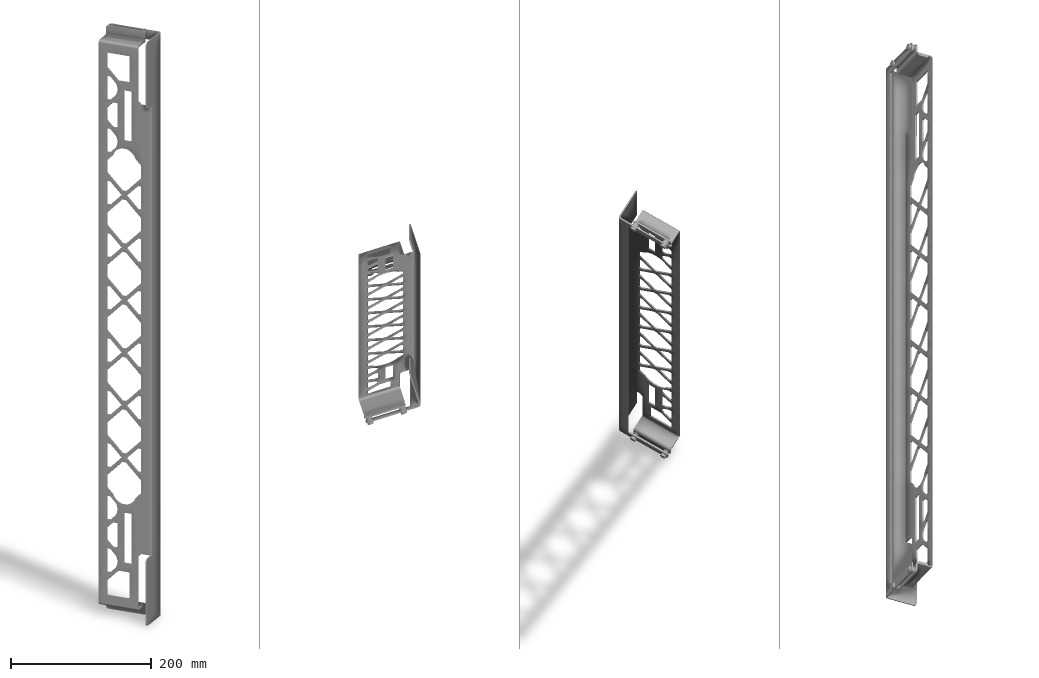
import cadquery as cq

length = 889.0
width = 83.0
depth = 34.0
sheet = 2.0
inner_bend = 2.0
outer_bend = inner_bend + sheet
half_length = length / 2
back_lip_width = 16.0
corner_round = 4.5

flange_reach = 16.0
flange_length = 102.0
flange_start = half_length - flange_length

narrow_width = 61.0
relief_chamfer = 5.0
end_plate_level = 430.0
end_tab_front = 25.0
back_tab_start = 430.0
lug_front = 8.0
lug_drop = 3.0
lug_thickness = 1.0

lattice_pitch = 80.0
lattice_left = 13.0
lattice_right = 67.0
lattice_centre = (lattice_left + lattice_right) / 2
lattice_half_width = lattice_centre - lattice_left
hexagon_side_half = 9.3
hexagon_tip_half = 3.0
hexagon_half_height = hexagon_side_half + lattice_half_width - hexagon_tip_half
triangle_half_height = 18.0
triangle_tip_offset = 4.0
triangle_top_offset = triangle_tip_offset + triangle_half_height
hexagon_count = 7
last_hexagon = (hexagon_count - 1) / 2 * lattice_pitch
bulge_radius = 19.0
bulge_top = 271.0
narrow_column_right = 29.0
narrow_column_round = 13.0
narrow_hexagon_half_height = 19.0

end_window_right = 48.0
end_window_bottom = 373.0
end_window_top = 413.0
end_window_corner = 391.0
slot_left = 40.0
slot_right = 52.0
slot_bottom = 284.0
slot_top = 360.0

fastener_x = (6.0, 56.0)
fastener_level = 439.0
shank_diameter = 4.8
head_diameter = 9.0
head_height = 4.0
spacer_diameter = 9.0

end_tab_back = end_tab_front + sheet
back_inner = depth - sheet
cut_margin = 9.0


def box(x_range, y_range, z_range):
    """Box between the given limits along each axis."""
    sizes = [high - low for low, high in (x_range, y_range, z_range)]
    corner = (x_range[0], y_range[0], z_range[0])
    return cq.Workplane("XY").box(*sizes, centered=False).translate(corner)


def prism_along_y(points, y_start, y_end):
    """Closed X-Z outline extruded from y_start to y_end."""
    plane = cq.Workplane("XZ", origin=(0, y_start, 0))
    return plane.polyline(points).close().extrude(y_start - y_end)


def rod(x, z, diameter, y_start, y_end):
    """Cylinder along Y."""
    plane = cq.Workplane("XZ", origin=(x, y_start, z))
    return plane.circle(diameter / 2).extrude(y_start - y_end)


def flip(body):
    """Copy of an upper-end body at the lower end."""
    return body.mirror("XY")


def channel():
    """Side wall, front web and narrow back lip, bent from one sheet."""
    outline = (
        cq.Workplane("XY", origin=(0, 0, -half_length))
        .moveTo(0, 0)
        .lineTo(width - outer_bend, 0)
        .radiusArc((width, outer_bend), -outer_bend)
        .lineTo(width, depth - outer_bend)
        .radiusArc((width - outer_bend, depth), -outer_bend)
        .lineTo(width - back_lip_width, depth)
        .lineTo(width - back_lip_width, back_inner)
        .lineTo(width - outer_bend, back_inner)
        .radiusArc((width - sheet, back_inner - inner_bend), inner_bend)
        .lineTo(width - sheet, outer_bend)
        .radiusArc((width - outer_bend, sheet), inner_bend)
        .lineTo(0, sheet)
        .close()
    )
    return outline.extrude(length)


def end_relief():
    """Corner of the front web and its bend removed beside a flange, and the web end where it folds."""
    points = [
        (narrow_width, half_length + cut_margin),
        (narrow_width, flange_start + relief_chamfer),
        (narrow_width + relief_chamfer, flange_start),
        (width + cut_margin, flange_start),
        (width + cut_margin, half_length + cut_margin),
    ]
    corner = prism_along_y(points, -cut_margin, outer_bend)
    web_end = box(
        (-cut_margin, narrow_width + cut_margin),
        (-cut_margin, outer_bend),
        (end_plate_level - outer_bend, half_length + cut_margin),
    )
    return corner.union(web_end)


def flange():
    """Flat forward extension of the side wall."""
    plate = box((width - sheet, width), (-flange_reach, outer_bend), (flange_start, half_length))
    return plate.edges("|X and <Y").fillet(corner_round)


def end_fold():
    """End plate folded back from the front web, then up into a tab."""
    top = end_plate_level
    bottom = top - sheet
    profile = (
        cq.Workplane("YZ")
        .moveTo(0, top - outer_bend)
        .radiusArc((outer_bend, top), outer_bend)
        .lineTo(end_tab_front - inner_bend, top)
        .radiusArc((end_tab_front, top + inner_bend), -inner_bend)
        .lineTo(end_tab_front, half_length)
        .lineTo(end_tab_back, half_length)
        .lineTo(end_tab_back, top + inner_bend)
        .radiusArc((end_tab_front - inner_bend, bottom), outer_bend)
        .lineTo(outer_bend, bottom)
        .radiusArc((sheet, top - outer_bend), -inner_bend)
        .close()
    )
    fold = profile.extrude(narrow_width)
    return fold.edges("|Y and >Z and <X").fillet(corner_round)


def end_lug():
    """Short lug below the free edge of the end plate."""
    plate_inner = end_plate_level - sheet
    lug_back = end_tab_front - inner_bend
    return box((0, lug_thickness), (lug_front, lug_back), (plate_inner - lug_drop, plate_inner))


def back_tab():
    """Extension of the back lip across the end of the panel."""
    tab = box((0, width - back_lip_width), (back_inner, depth), (back_tab_start, half_length))
    return tab.edges("|Y and >Z and <X").fillet(corner_round)


def fastener_holes():
    """Shank holes through the end tab and the back tab."""
    y_start = end_tab_front - cut_margin
    y_end = depth + cut_margin
    return [rod(x, fastener_level, shank_diameter, y_start, y_end) for x in fastener_x]


def web_opening(points):
    """Opening through the front web."""
    return prism_along_y(points, -cut_margin, outer_bend)


def hexagon_points(level):
    """Hexagon across the lattice, with blunt tips above and below."""
    left = lattice_left
    right = lattice_right
    tip_left = lattice_centre - hexagon_tip_half
    tip_right = lattice_centre + hexagon_tip_half
    return [
        (left, level - hexagon_side_half),
        (left, level + hexagon_side_half),
        (tip_left, level + hexagon_half_height),
        (tip_right, level + hexagon_half_height),
        (right, level + hexagon_side_half),
        (right, level - hexagon_side_half),
        (tip_right, level - hexagon_half_height),
        (tip_left, level - hexagon_half_height),
    ]


def triangle_points(level, side):
    """Triangle beside a lattice crossing; side is -1 for left and 1 for right."""
    outer = lattice_centre + side * lattice_half_width
    shoulder = lattice_centre + side * triangle_top_offset
    tip = lattice_centre + side * triangle_tip_offset
    return [
        (outer, level - triangle_half_height),
        (outer, level + triangle_half_height),
        (shoulder, level + triangle_half_height),
        (tip, level),
        (shoulder, level - triangle_half_height),
    ]


def lattice_openings():
    """Full-width hexagons and the triangle pairs between them, with the outermost tips cut off."""
    lattice_extent = box((lattice_left, lattice_right), (-cut_margin, outer_bend), (-bulge_top, bulge_top))
    openings = []
    for index in range(hexagon_count):
        level = index * lattice_pitch - last_hexagon
        openings.append(web_opening(hexagon_points(level)).intersect(lattice_extent))
    for index in range(hexagon_count - 1):
        level = (index + 0.5) * lattice_pitch - last_hexagon
        for side in (-1, 1):
            openings.append(web_opening(triangle_points(level, side)))
    return openings


def narrow_column():
    """Left-hand remains of the lattice beside the slot: triangle, hexagon, triangle."""
    first = last_hexagon + lattice_pitch / 2
    middle = first + lattice_pitch / 2
    column = (lattice_left, narrow_column_right)
    through = (-cut_margin, outer_bend)

    openings = []
    for level in (first, first + lattice_pitch):
        limit = box(column, through, (level - triangle_half_height, level + triangle_half_height))
        triangle = web_opening(triangle_points(level, -1)).intersect(limit)
        openings.append(triangle.edges("|Y and >X").fillet(narrow_column_round))

    limit = box(column, through, (middle - narrow_hexagon_half_height, middle + narrow_hexagon_half_height))
    openings.append(web_opening(hexagon_points(middle)).intersect(limit))
    return openings


def end_openings():
    """Openings of the upper end: rounded hexagon tip, narrow lattice column, slot and window."""
    bulge = rod(lattice_centre, bulge_top - bulge_radius, 2 * bulge_radius, -cut_margin, outer_bend)
    slot = box((slot_left, slot_right), (-cut_margin, outer_bend), (slot_bottom, slot_top))
    corner_run = end_window_corner - end_window_bottom
    window = web_opening(
        [
            (lattice_left, end_window_corner),
            (lattice_left, end_window_top),
            (end_window_right, end_window_top),
            (end_window_right, end_window_bottom),
            (lattice_left + corner_run, end_window_bottom),
        ]
    )
    return [bulge, *narrow_column(), slot, window]


def make_panel():
    """Complete panel: channel, flanges, folded ends and all openings."""
    relief = end_relief()
    body = channel().cut(relief).cut(flip(relief))
    for part in (flange(), end_fold(), end_lug(), back_tab()):
        body = body.union(part).union(flip(part))
    for opening in lattice_openings():
        body = body.cut(opening)
    for opening in [*end_openings(), *fastener_holes()]:
        body = body.cut(opening).cut(flip(opening))
    return body


def make_rivet(x):
    """Headed rivet through both tabs, ending flush with the end tab."""
    shank = rod(x, fastener_level, shank_diameter, end_tab_front, depth)
    head = rod(x, fastener_level, head_diameter, depth, depth + head_height)
    return shank.union(head)


def make_spacer(x):
    """Ring around the shank between the end tab and the back tab."""
    ring = rod(x, fastener_level, spacer_diameter, end_tab_back, back_inner)
    return ring.cut(rod(x, fastener_level, shank_diameter, end_tab_back, back_inner))


panel = make_panel()
rivets = []
spacers = []
for x in fastener_x:
    rivet = make_rivet(x)
    spacer = make_spacer(x)
    rivets += [rivet.val(), flip(rivet).val()]
    spacers += [spacer.val(), flip(spacer).val()]

result = cq.Compound.makeCompound([panel.val(), *rivets, *spacers])